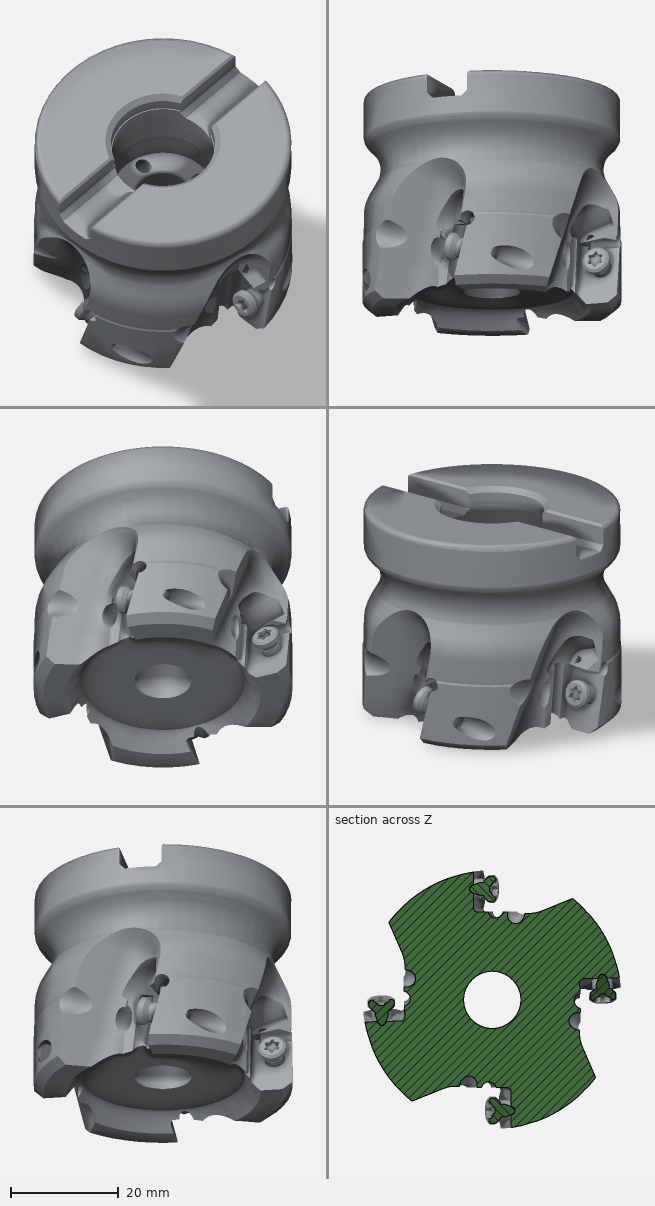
import cadquery as cq
import math

height = 40.5
collar_radius = 23.85
waist_radius = 23.85
tooth_radius = 24.05

pitch_offset = 1.5
tooth_angles = [0, 90 + pitch_offset, 180, 270 + pitch_offset]

tooth_chamfer_height = 1.45
tooth_chamfer_width = 1.75
ledge_bottom = 12.9
ledge_top = 13.3
waist_top = 17.65
flare_bottom = 21.8
flare_top = 24.25
neck_height = 26.8
collar_round_bottom = 30.85
collar_bottom = 32.45
collar_edge_round = 1.05

flare_bottom_radius = 22.65
flare_top_radius = 21.25
neck_radius = 20.75
collar_round_radius = 22.85

bore_radius = 9.5
bore_relief_radius = 9.7
bore_mouth_radius = 10.7
bore_mouth_depth = 0.95
guide_top = 37.25
guide_bottom = 28.5
bore_floor = 23.05
bolt_hole_radius = 5.3
bolt_hole_chamfer = 0.3
dish_radius = 18.15
dish_inner_radius = 15.1
dish_depth = 3.35

slot_width = 7.95
slot_depth = 4.85
slot_corner_chamfer = 1.05
slot_edge_chamfer = 0.45

gullet_center = cq.Vector(-2.75, -24.65, 19.7)
gullet_axis = cq.Vector(0.33, -0.2, 1)
gullet_side = cq.Vector(0.95, -0.31, 0)
gullet_radius = 6.25
gullet_half_angle = 49.0
gullet_length = 36.0
gullet_flank_length = 14.4

seat_tilt = 14.0
seat_point = cq.Vector(3.0, -20.6, 7.0)
pocket_depth = 7.7
pocket_top = 4.8
pocket_bottom = -10.55
pocket_wall = 4.2
pocket_outside = 7.2
pocket_corner_radius = 0.7
corner_relief_radius = 1.4
corner_relief_point = cq.Vector(4.05, -17.5, 12.3)
wall_groove_radius = 1.35
wall_groove_tilt = 7.0
wall_groove_point = cq.Vector(-0.75, -16.6, 7.7)
wall_groove_top = 12.95

clearance_corner = cq.Vector(0.25, -14.4, 18.25)
clearance_turn = 45.0
clearance_tilt = 18.0
clearance_radius = 2.5
clearance_left_length = 7.7
clearance_right_length = 6.35

coolant_start = cq.Vector(-2.4, -7.1, 23.05)
coolant_exit = cq.Vector(-4.25, -15.35, 9.85)
coolant_radius = 1.4
coolant_overrun_share = 0.3
coolant_mouth_radius = 1.6
coolant_mouth_share = 0.15

screw_length = 5.5
head_height = 3.95
head_radius = 2.6
head_edge_radius = 2.1
head_edge = 0.4
head_straight = 1.35
head_cone_end = 2.15
neck_ring_end = 2.55
neck_ring_radius = 1.8
shank_radius = 1.9
tip_radius = 1.6
tip_chamfer = 0.4
torx_depth = 1.05
torx_outer_radius = 1.7
torx_inner_radius = 1.1
torx_points = 6

driver_radius = 2.97
driver_length = 16.3
exit_radius = 2.0
exit_length = 14.4


def seat_frame(distance=0.0):
    """Plane parallel to the seat, its normal running along the screw into the tooth."""
    tilt = math.radians(seat_tilt)
    normal = cq.Vector(math.cos(tilt), 0, -math.sin(tilt))
    return cq.Plane(origin=seat_point + normal * distance, xDir=(0, 1, 0), normal=normal)


def rod(start, end, radius):
    """Cylinder from one point to another."""
    path = end - start
    return cq.Workplane(obj=cq.Solid.makeCylinder(radius, path.Length, start, path))


def around(shape, angle):
    """Copy of a shape turned about the cutter axis."""
    return shape.rotate((0, 0, 0), (0, 0, 1), angle)


def turned_blank():
    """Outer shape of the cutter body: teeth ring, waist, neck and collar."""
    edge_mid = collar_edge_round * (1 - math.sqrt(0.5))
    profile = (
        cq.Workplane("XZ")
        .moveTo(0, 0)
        .lineTo(tooth_radius - tooth_chamfer_width, 0)
        .lineTo(tooth_radius, tooth_chamfer_height)
        .lineTo(tooth_radius, ledge_bottom)
        .lineTo(waist_radius, ledge_top)
        .lineTo(waist_radius, waist_top)
        .tangentArcPoint((flare_bottom_radius, flare_bottom), relative=False)
        .lineTo(flare_top_radius, flare_top)
        .threePointArc((neck_radius, neck_height), (collar_round_radius, collar_round_bottom))
        .tangentArcPoint((collar_radius, collar_bottom), relative=False)
        .lineTo(collar_radius, height - collar_edge_round)
        .threePointArc(
            (collar_radius - edge_mid, height - edge_mid), (collar_radius - collar_edge_round, height)
        )
        .lineTo(0, height)
        .close()
    )
    return profile.revolve(360, (0, 0, 0), (0, 1, 0))


def bore_cutter():
    """Arbor bore, bolt hole and the conical dish in the cutting end."""
    profile = (
        cq.Workplane("XZ")
        .moveTo(0, 0)
        .lineTo(dish_radius, 0)
        .lineTo(dish_inner_radius, dish_depth)
        .lineTo(bolt_hole_radius, dish_depth)
        .lineTo(bolt_hole_radius, bore_floor - bolt_hole_chamfer)
        .lineTo(bolt_hole_radius + bolt_hole_chamfer, bore_floor)
        .lineTo(bore_relief_radius, bore_floor)
        .lineTo(bore_relief_radius, guide_bottom)
        .lineTo(bore_radius, guide_bottom)
        .lineTo(bore_radius, guide_top)
        .lineTo(bore_relief_radius, guide_top)
        .lineTo(bore_relief_radius, height - bore_mouth_depth)
        .lineTo(bore_mouth_radius, height)
        .lineTo(0, height)
        .close()
    )
    return profile.revolve(360, (0, 0, 0), (0, 1, 0))


def slot_cutter():
    """Driving slot along Y with chamfered floor corners and top edges."""
    half = slot_width / 2
    floor = height - slot_depth
    right_side = [
        (half - slot_corner_chamfer, floor),
        (half, floor + slot_corner_chamfer),
        (half, height - slot_edge_chamfer),
        (half + slot_edge_chamfer, height),
    ]
    left_side = [(-x, z) for x, z in reversed(right_side)]
    outline = cq.Workplane("XZ").polyline(right_side + left_side).close()
    return outline.extrude(tooth_radius, both=True)


def gullet_cutter():
    """Flared ball-nosed tool run down along the gullet axis."""
    frame = cq.Plane(origin=gullet_center, xDir=gullet_side, normal=gullet_axis)
    flare = math.radians(gullet_half_angle)
    tangent_x = gullet_radius * math.cos(flare)
    tangent_y = gullet_radius * math.sin(flare)
    outer_x = tangent_x + gullet_flank_length * math.sin(flare)
    outer_y = tangent_y - gullet_flank_length * math.cos(flare)
    channel = (
        cq.Workplane(frame)
        .moveTo(-outer_x, outer_y)
        .lineTo(-tangent_x, tangent_y)
        .threePointArc((0, gullet_radius), (tangent_x, tangent_y))
        .lineTo(outer_x, outer_y)
        .close()
        .extrude(-gullet_length)
    )
    arc_middle = (math.pi / 2 + flare) / 2
    end = (
        cq.Workplane(frame)
        .moveTo(0, gullet_radius)
        .threePointArc(
            (gullet_radius * math.cos(arc_middle), gullet_radius * math.sin(arc_middle)),
            (tangent_x, tangent_y),
        )
        .lineTo(outer_x, outer_y)
        .lineTo(0, outer_y)
        .close()
        .revolve(360, (0, 0, 0), (0, 1, 0))
    )
    return channel.union(end)


def pocket_cutter():
    """Insert pocket in front of the seat, with its corner and wall reliefs."""
    block = (
        cq.Workplane(seat_frame(-pocket_depth))
        .moveTo(-pocket_outside, pocket_bottom)
        .lineTo(pocket_wall, pocket_bottom)
        .lineTo(pocket_wall, pocket_top)
        .lineTo(-pocket_outside, pocket_top)
        .close()
        .extrude(pocket_depth)
        .edges(cq.selectors.NearestToPointSelector((seat_point + cq.Vector(0, pocket_wall, 0)).toTuple()))
        .fillet(pocket_corner_radius)
    )
    rise = math.tan(math.radians(wall_groove_tilt))
    below = wall_groove_point.z
    above = wall_groove_top - wall_groove_point.z
    groove = rod(
        wall_groove_point - cq.Vector(rise, 0, 1) * below,
        wall_groove_point + cq.Vector(rise, 0, 1) * above,
        wall_groove_radius,
    )
    relief_mouth = corner_relief_point - cq.Vector(0, pocket_outside, 0)
    relief = rod(corner_relief_point, relief_mouth, corner_relief_radius)
    return block.union(groove).union(relief)


def clearance_cutter():
    """Turned block above the pocket, its floor leaning back, rounded along both upper walls."""
    block = (
        cq.Workplane("XY")
        .box(clearance_left_length, pocket_outside, clearance_right_length, centered=False)
        .translate((-clearance_left_length, -pocket_outside, -clearance_right_length))
    )
    rounded = block.edges("(>X and >Y) or (>X and >Z) or (>Y and >Z)").fillet(clearance_radius)
    turned = rounded.rotate((0, 0, 0), (0, 1, 0), -clearance_turn)
    return turned.rotate((0, 0, 0), (1, 0, 0), -clearance_tilt).translate(clearance_corner)


def screw_hole_cutter():
    """Screw hole through the tooth and the driver access groove in front of it."""
    hole = cq.Workplane(seat_frame()).circle(shank_radius).extrude(screw_length)
    exit_hole = cq.Workplane(seat_frame(screw_length)).circle(exit_radius).extrude(exit_length)
    access = cq.Workplane(seat_frame(-head_height)).circle(driver_radius).extrude(-driver_length)
    clearance = cq.Workplane(seat_frame(-head_height)).circle(driver_radius).extrude(head_height)
    return hole.union(exit_hole).union(access).union(clearance)


def coolant_cutter():
    """Hole from the bore floor to the gullet, wider at its mouth."""
    path = coolant_exit - coolant_start
    far_end = coolant_exit + path * coolant_overrun_share
    hole = rod(coolant_start - path * coolant_overrun_share, far_end, coolant_radius)
    return hole.union(rod(coolant_exit - path * coolant_mouth_share, far_end, coolant_mouth_radius))


def make_housing():
    body = turned_blank().cut(bore_cutter()).cut(slot_cutter())
    cutters = [gullet_cutter(), pocket_cutter(), clearance_cutter(), screw_hole_cutter(), coolant_cutter()]
    for angle in tooth_angles:
        for cutter in cutters:
            body = body.cut(around(cutter, angle))
    return body.solids()


def make_screw():
    """Clamping screw with a six-pointed socket, collar ring and chamfered tip."""
    top = -head_height
    profile = (
        cq.Workplane(seat_frame())
        .transformed(rotate=(90, 0, 0))
        .moveTo(0, top)
        .lineTo(head_edge_radius, top)
        .lineTo(head_radius, top + head_edge)
        .lineTo(head_radius, top + head_straight)
        .lineTo(shank_radius, top + head_cone_end)
        .lineTo(neck_ring_radius, top + head_cone_end)
        .lineTo(neck_ring_radius, top + neck_ring_end)
        .lineTo(shank_radius, top + neck_ring_end)
        .lineTo(shank_radius, screw_length - tip_chamfer)
        .lineTo(tip_radius, screw_length)
        .lineTo(0, screw_length)
        .close()
    )
    star = []
    for i in range(2 * torx_points):
        radius = torx_inner_radius if i % 2 else torx_outer_radius
        angle = math.pi / 2 + i * math.pi / torx_points
        star.append((radius * math.cos(angle), radius * math.sin(angle)))
    socket = cq.Workplane(seat_frame(top)).polyline(star).close().extrude(torx_depth)
    return profile.revolve(360, (0, 0, 0), (0, 1, 0)).cut(socket).solids()


housing = make_housing()
screw = make_screw()
screws = [around(screw, angle).val() for angle in tooth_angles]

result = cq.Compound.makeCompound([housing.val(), *screws])